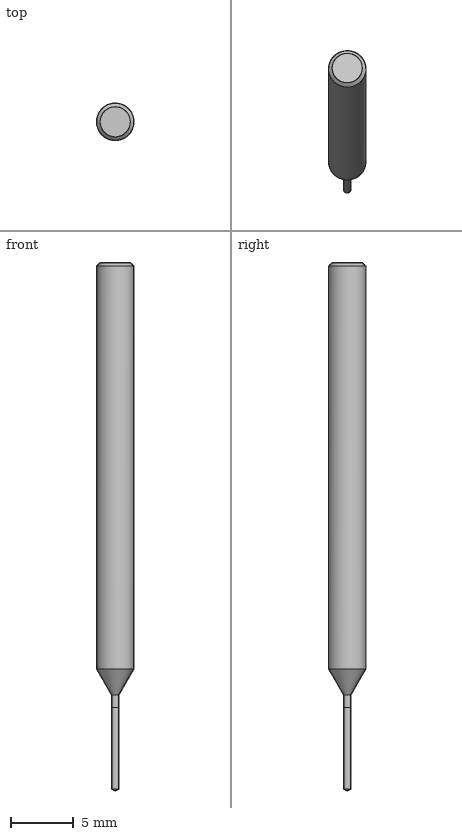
import cadquery as cq
import math

total_length = 42.0
shank_diameter = 3.0
shank_radius = shank_diameter / 2
shank_chamfer = 0.3

drill_radius = 0.3
cutting_length = 6.65
point_length = 0.15

neck_radius = drill_radius
neck_length = 1.0
taper_half_angle = math.radians(30)

neck_top = cutting_length + neck_length
taper_top = neck_top + (shank_radius - neck_radius) / math.tan(taper_half_angle)


def revolve_profile(points):
    """Turn a closed (radius, height) outline about the Z axis."""
    outline = cq.Workplane("XZ").polyline(points).close()
    return outline.revolve(360, (0, 0, 0), (0, 1, 0))


def make_cutting_part():
    """Slender drill body with a conical point."""
    return revolve_profile([
        (0, 0),
        (drill_radius, point_length),
        (drill_radius, cutting_length),
        (0, cutting_length),
    ])


def make_holder():
    """Neck, taper and cylindrical shank with a chamfered end."""
    return revolve_profile([
        (0, cutting_length),
        (neck_radius, cutting_length),
        (neck_radius, neck_top),
        (shank_radius, taper_top),
        (shank_radius, total_length - shank_chamfer),
        (shank_radius - shank_chamfer, total_length),
        (0, total_length),
    ])


cutting_part = make_cutting_part()
holder = make_holder()

result = cq.Compound.makeCompound([cutting_part.val(), holder.val()])